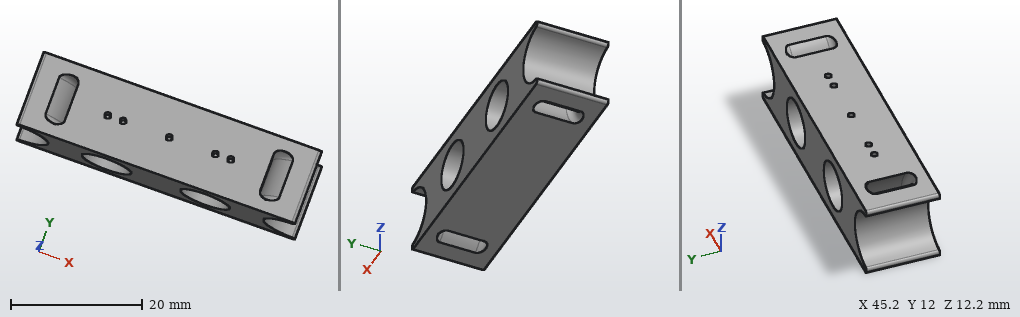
import cadquery as cq

length = 45.2
depth = 12.0
height = 12.2

seat_radius = 5.1
lip_fillet = 0.5

bore_diameter = 8.0
bore_spacing = 2 * bore_diameter

slot_width = bore_diameter
slot_thickness = 2.0
slot_mid_radius = 8.1

pin_diameter = 1.0
pin_depth = 2.0
inner_pin_offset = 7.5
outer_pin_offset = 10.0


def make_block():
    """Block with two cross bores and a round seat in each end."""
    block = cq.Workplane("XY").box(length, depth, height)
    seats = (
        cq.Workplane("XZ")
        .pushPoints([(-length / 2, 0), (length / 2, 0)])
        .circle(seat_radius)
        .extrude(depth, both=True)
    )
    bores = (
        cq.Workplane("XZ")
        .pushPoints([(-bore_spacing / 2, 0), (bore_spacing / 2, 0)])
        .circle(bore_diameter / 2)
        .extrude(depth, both=True)
    )
    block = block.cut(seats).edges("|Y and (<X or >X)").fillet(lip_fillet)
    return block.cut(bores)


def make_strap_slot(side):
    """Ring of rounded section around the seat axis; side is -1 or 1."""
    return (
        cq.Workplane("XY")
        .center(side * length / 2 + slot_mid_radius, 0)
        .slot2D(slot_width, slot_thickness, 90)
        .revolve(360, (-slot_mid_radius, 0), (-slot_mid_radius, 1))
    )


def make_pin_holes():
    """Row of five blind holes sunk from the top face, stopping above the bores."""
    pin_offsets = (-outer_pin_offset, -inner_pin_offset, 0, inner_pin_offset, outer_pin_offset)
    return (
        cq.Workplane("XY", origin=(0, 0, height / 2))
        .pushPoints([(x, 0) for x in pin_offsets])
        .circle(pin_diameter / 2)
        .extrude(-pin_depth)
    )


result = make_block()
for side in (-1, 1):
    result = result.cut(make_strap_slot(side))
result = result.cut(make_pin_holes())